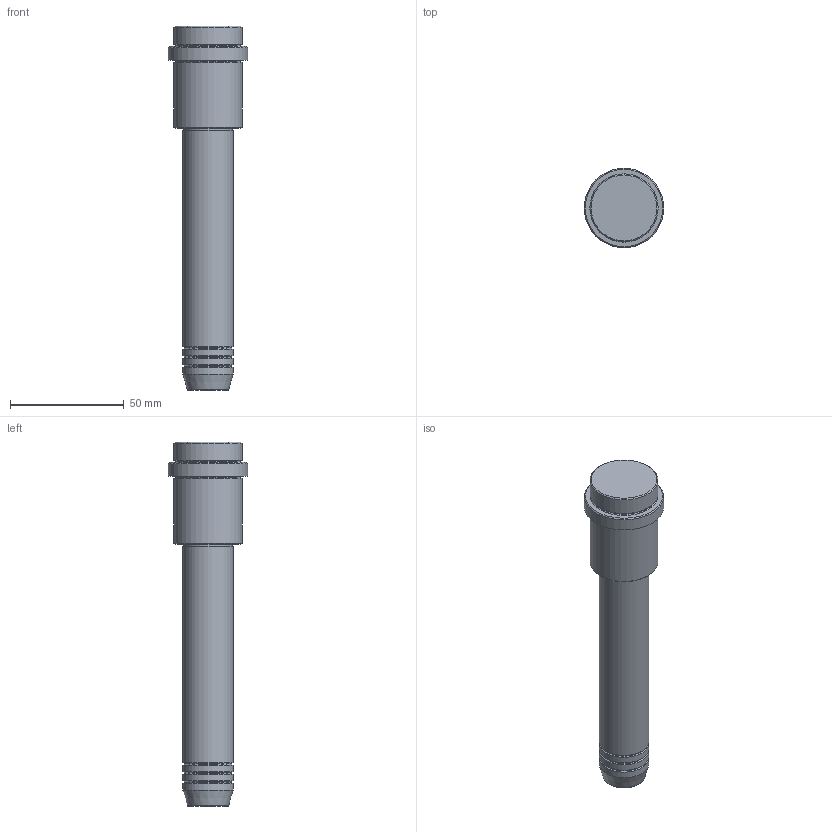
import cadquery as cq
import math

total_length = 160.0

head_radius = 15.0
head_length = 45.0
head_chamfer = 0.5
collar_radius = 17.5
collar_thickness = 6.0
collar_top_depth = 9.0
collar_chamfer = 0.5

relief_width = 1.0
relief_depth = 0.5
relief_floor_width = 0.4

shank_radius = 11.0
neck_length = 1.0
neck_depth = 0.4

taper_length = 7.0
taper_angle = math.radians(15.0)
tip_chamfer = 0.35

groove_width = 1.0
groove_depth = 0.5
groove_floor_width = 0.4
groove_count = 3
first_groove_height = 10.5
groove_pitch = 4.0

head_bottom = total_length - head_length
collar_top = total_length - collar_top_depth
collar_bottom = collar_top - collar_thickness


def cut_tapered_groove(body, height, surface_radius, width, floor_width, depth):
    """Cut a ring groove with sloping walls and a flat floor, centred on a height."""
    ring = (
        cq.Workplane("XZ")
        .moveTo(surface_radius, height - width / 2)
        .lineTo(surface_radius, height + width / 2)
        .lineTo(surface_radius - depth, height + floor_width / 2)
        .lineTo(surface_radius - depth, height - floor_width / 2)
        .close()
        .revolve(360, (0, 0, 0), (0, 1, 0))
    )
    return body.cut(ring)


def make_shank():
    """Revolve the shank with its neck, conical taper and chamfered tip."""
    neck_radius = shank_radius - neck_depth
    neck_bottom = head_bottom - neck_length
    taper_end_radius = shank_radius - (taper_length - tip_chamfer) * math.tan(taper_angle)
    return (
        cq.Workplane("XZ")
        .moveTo(0, head_bottom)
        .lineTo(neck_radius, head_bottom)
        .lineTo(neck_radius, neck_bottom)
        .lineTo(shank_radius, neck_bottom)
        .lineTo(shank_radius, taper_length)
        .lineTo(taper_end_radius, tip_chamfer)
        .lineTo(taper_end_radius - tip_chamfer, 0)
        .lineTo(0, 0)
        .close()
        .revolve(360, (0, 0, 0), (0, 1, 0))
    )


def make_head():
    """Build the chamfered head cylinder with its reliefs and collar."""
    head = (
        cq.Workplane("XY")
        .workplane(offset=head_bottom)
        .circle(head_radius)
        .extrude(head_length)
        .faces(">Z or <Z")
        .chamfer(head_chamfer)
    )
    for relief_height in (collar_top + relief_width / 2, collar_bottom - relief_width / 2):
        head = cut_tapered_groove(
            head, relief_height, head_radius, relief_width, relief_floor_width, relief_depth
        )
    collar = (
        cq.Workplane("XY")
        .workplane(offset=collar_bottom)
        .circle(collar_radius)
        .extrude(collar_thickness)
        .faces(">Z")
        .chamfer(collar_chamfer)
    )
    return head.union(collar)


def cut_shank_grooves(shank):
    """Cut the lubrication grooves near the free end."""
    for index in range(groove_count):
        groove_height = first_groove_height + index * groove_pitch
        shank = cut_tapered_groove(
            shank, groove_height, shank_radius, groove_width, groove_floor_width, groove_depth
        )
    return shank


result = cut_shank_grooves(make_shank()).union(make_head())